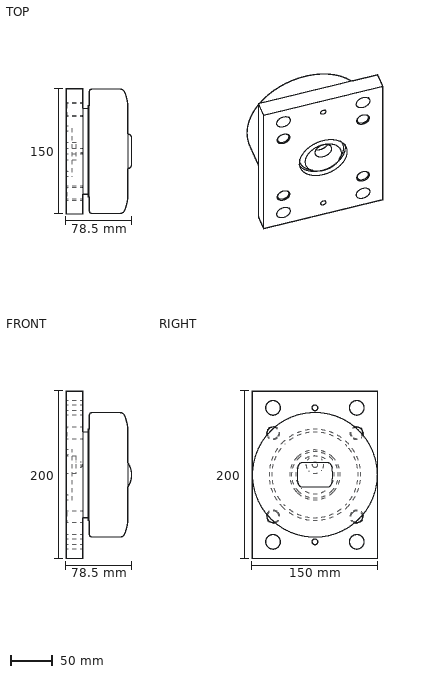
import cadquery as cq
import math

plate_thickness = 20.0
plate_width = 150.0
plate_height = 200.0

overall_depth = 78.5
hub_radius = 51.5
collar_radius = 54.5
collar_start = 26.2
roller_diameter = 149.0
roller_radius = roller_diameter / 2
roller_start = 27.5
roller_end = 73.8
inner_fillet = 3.5
crown_start = 64.0
shoulder_x = 70.5
shoulder_drop = 5.0
crown_drop = 18.0
crown_slope = math.radians(10)

axial_radius = 25.0
axial_length = 41.5
axial_fillet = 5.0

hole_offset_y = 50.0
mount_hole_offset_z = 80.0
mount_hole_diameter = 17.2
thread_hole_offset_z = 50.0
thread_hole_diameter = 14.0
thread_chamfer = 1.0
pin_hole_diameter = 6.5

groove_radius = 30.0
groove_depth = 7.0
boss_base_radius = 27.8
boss_top_radius = 22.8

bore_offset_z = 12.0
bore_radius = 10.5
bore_depth = 12.0
socket_radius = 3.2
socket_depth = 6.0
socket_tip_depth = 2.0


def revolve_about_x(profile):
    """Turn a closed XY profile, drawn from the X axis outward, about X."""
    return profile.close().revolve(360, (0, 0, 0), (1, 0, 0))


def make_plate():
    plate = cq.Workplane("YZ").rect(plate_width, plate_height).extrude(plate_thickness)
    y, z = hole_offset_y, mount_hole_offset_z
    corners = [(sy * y, sz * z) for sy in (-1, 1) for sz in (-1, 1)]
    plate = plate.cut(round_holes(corners, mount_hole_diameter))
    plate = plate.cut(round_holes([(0, -z), (0, z)], pin_hole_diameter))

    z = thread_hole_offset_z
    chamfer_radius = thread_hole_diameter / 2 + thread_chamfer
    for hole_y in (-y, y):
        for hole_z in (-z, z):
            countersink = cq.Solid.makeCone(
                chamfer_radius, chamfer_radius - thread_chamfer, thread_chamfer,
                cq.Vector(0, hole_y, hole_z), cq.Vector(1, 0, 0),
            )
            plate = plate.cut(round_holes([(hole_y, hole_z)], thread_hole_diameter))
            plate = plate.cut(cq.Workplane(countersink))
    return plate


def round_holes(points, diameter):
    return cq.Workplane("YZ").pushPoints(points).circle(diameter / 2).extrude(plate_thickness)


def make_bearing():
    fillet_leg = inner_fillet * (1 - math.sqrt(0.5))
    profile = (
        cq.Workplane("XY")
        .moveTo(plate_thickness, 0)
        .lineTo(plate_thickness, hub_radius)
        .lineTo(collar_start, hub_radius)
        .lineTo(collar_start, collar_radius)
        .lineTo(roller_start, collar_radius)
        .lineTo(roller_start, roller_radius - inner_fillet)
        .threePointArc(
            (roller_start + fillet_leg, roller_radius - fillet_leg),
            (roller_start + inner_fillet, roller_radius),
        )
        .lineTo(crown_start, roller_radius)
        .spline(
            [(shoulder_x, roller_radius - shoulder_drop), (roller_end, roller_radius - crown_drop)],
            tangents=[(1, 0), (math.sin(crown_slope), -math.cos(crown_slope))],
            includeCurrent=True,
        )
        .lineTo(roller_end, 0)
    )
    return revolve_about_x(profile)


def make_axial_roller():
    roller = (
        cq.Workplane("XZ")
        .center(overall_depth - axial_radius, 0)
        .circle(axial_radius)
        .extrude(axial_length / 2, both=True)
    )
    return roller.edges("%CIRCLE").fillet(axial_fillet)


def make_groove():
    profile = (
        cq.Workplane("XY")
        .moveTo(0, boss_top_radius)
        .lineTo(0, groove_radius)
        .lineTo(groove_depth, groove_radius)
        .lineTo(groove_depth, boss_base_radius)
    )
    return revolve_about_x(profile)


def make_stepped_bore():
    socket_end = bore_depth + socket_depth
    profile = (
        cq.Workplane("XY")
        .lineTo(0, bore_radius)
        .lineTo(bore_depth, bore_radius)
        .lineTo(bore_depth, socket_radius)
        .lineTo(socket_end, socket_radius)
        .lineTo(socket_end + socket_tip_depth, 0)
    )
    return revolve_about_x(profile).translate((0, 0, bore_offset_z))


result = make_plate().union(make_bearing()).union(make_axial_roller())
result = result.cut(make_groove()).cut(make_stepped_bore())